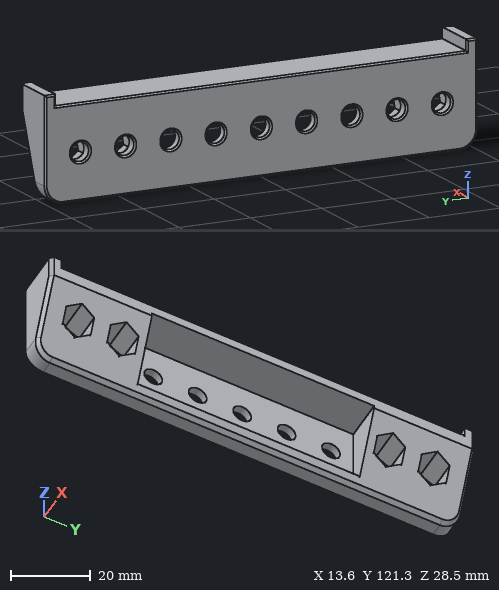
import cadquery as cq

depth = 13.6
length = 121.3
height = 28.5

bottom_depth = 5.0
back_height = 6.9

wall = 3.0
tab_height = 3.0
shelf_z = height - tab_height
corner_radius = 5.0

front_chamfer = 0.5
back_chamfer = 1.0

hole_count = 9
hole_span = 101.6
hole_pitch = hole_span / (hole_count - 1)
hole_diameter = 5.1
hole_z = 12.7
hole_chamfer = 0.5

pocket_hole_count = 5
pocket_length = pocket_hole_count * hole_pitch
pocket_front_wall = 2.8
pocket_height = shelf_z - 2 * wall
nut_corner_diameter = 9.2


def wedge_bar():
    """Bar with the side profile along its whole length and rounded bottom corners."""
    profile = [
        (0, 0),
        (bottom_depth, 0),
        (depth, height - back_height),
        (depth, height),
        (0, height),
    ]
    bar = cq.Workplane("XZ").polyline(profile).close().extrude(length / 2, both=True)
    bottom_corners = bar.edges("|X and <Z")
    return bottom_corners.fillet(corner_radius)


def chamfer_back(bar):
    """Bevel the ends and the bottom of the back, leaving its top edge sharp."""
    back_faces = bar.faces("%PLANE").filter(lambda face: face.normalAt().x > 0.5)
    bottom_edge = bar.edges("|Y and <Z").edges(">X")
    return back_faces.edges("not |Y").add(bottom_edge).chamfer(back_chamfer)


def recess_between_tabs():
    """Block removed from the top so that one tab is left standing at each end."""
    return (
        cq.Workplane("XY", origin=(depth / 2, 0, shelf_z))
        .rect(depth, length - 2 * wall)
        .extrude(tab_height)
    )


def hole_cutter(y):
    """Through hole along X with a chamfered mouth on the front face."""
    hole_radius = hole_diameter / 2
    half_section = [
        (0, 0),
        (hole_radius + hole_chamfer, 0),
        (hole_radius, hole_chamfer),
        (hole_radius, depth),
        (0, depth),
    ]
    cutter = cq.Workplane("XY").polyline(half_section).close().revolve(360, (0, 0), (0, 1))
    return cutter.rotate((0, 0, 0), (0, 0, 1), -90).translate((0, y, hole_z))


def nut_trap(y):
    """Hexagonal recess from the back, one corner up, leaving the front wall behind the hole."""
    return (
        cq.Workplane("YZ", origin=(wall, y, hole_z))
        .transformed(rotate=(0, 0, 90))
        .polygon(6, nut_corner_diameter)
        .extrude(depth)
    )


def middle_pocket():
    """Rectangular recess from the back, leaving walls in front, above and below."""
    return (
        cq.Workplane("YZ", origin=(pocket_front_wall, 0, wall + pocket_height / 2))
        .rect(pocket_length, pocket_height)
        .extrude(depth)
    )


result = chamfer_back(wedge_bar()).cut(recess_between_tabs())
result = result.faces("<X").edges().chamfer(front_chamfer)
result = result.cut(middle_pocket())

for index in range(hole_count):
    hole_y = index * hole_pitch - hole_span / 2
    result = result.cut(hole_cutter(hole_y))
    if abs(hole_y) > pocket_length / 2:
        result = result.cut(nut_trap(hole_y))